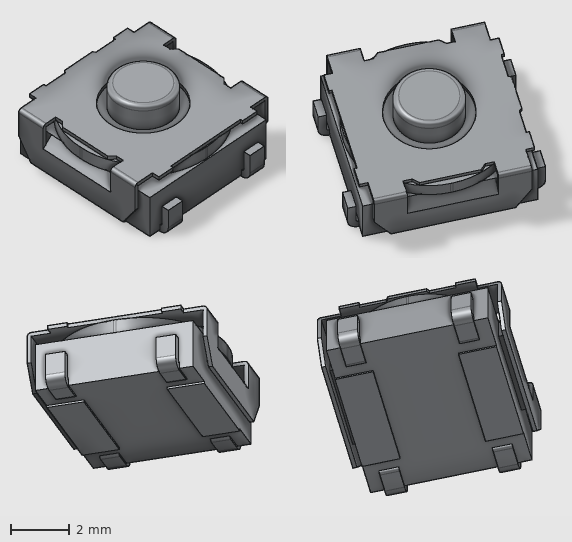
import cadquery as cq
import math


overall_length = 7.0
overall_depth = 6.5
overall_height = 3.4

sheet = 0.15
cover_top = 2.5
cover_underside = cover_top - sheet
cover_width = 6.2
cover_shoulder_depth = 4.81
cover_hole_diameter = 3.2
tab_width = 5.585
tab_foot_width = 4.41
tab_bottom = 0.44
tab_taper_top = 1.33

window_width = 3.22
window_bottom = 0.99
window_inner_y = 2.64
tongue_root_width = 2.59
tongue_chamfer = 0.21

notch_depth = 0.105
notch_outer_y = 1.7
notch_inner_y = 0.68
notch_chamfer = 0.08

base_width = cover_width
base_depth = 5.7
base_underside = 0.08
base_top = 1.835
foot_width = 3.795
foot_inner_y = 1.505

housing_size = 6.1
housing_flat = 0.08

plunger_diameter = 2.5
plunger_round = 0.2

lead_thickness = 0.3
lead_width = 0.7
lead_spacing = 4.005
lead_top = 1.19
lead_bend_radius = 0.4
lead_inner_x = 2.255
lead_end_round = 0.15


def slab(width, depth, bottom, top):
    """Centred rectangular block between two heights."""
    return (
        cq.Workplane("XY")
        .workplane(offset=bottom)
        .rect(width, depth)
        .extrude(top - bottom)
    )


def extrude_along_x(points, width):
    """Prism centred on X from a (Y, Z) outline."""
    return cq.Workplane("YZ").polyline(points).close().extrude(width / 2, both=True)


def both_sides(shape, plane):
    """Shape joined with its mirror image."""
    return shape.union(shape.mirror(plane))


def make_base():
    """Block with two locating feet and a sloped latch on its front and back."""
    base = slab(base_width, base_depth, base_underside, base_top)

    foot_depth = base_depth / 2 - foot_inner_y
    foot = slab(foot_width, foot_depth, 0, base_underside)
    foot = foot.translate((0, foot_inner_y + foot_depth / 2, 0))

    root_y = base_depth / 2
    tip_y = overall_depth / 2
    latch = extrude_along_x(
        [
            (root_y, window_bottom),
            (tip_y, window_bottom),
            (tip_y, base_top - (tip_y - root_y)),
            (root_y, base_top),
        ],
        window_width,
    )
    return base.union(both_sides(foot, "XZ")).union(both_sides(latch, "XZ"))


def make_housing():
    housing = slab(housing_size, housing_size, base_top, cover_underside)
    return housing.edges("|Z").fillet((housing_size - housing_flat) / 2)


def make_plunger():
    plunger = (
        cq.Workplane("XY")
        .workplane(offset=cover_underside)
        .circle(plunger_diameter / 2)
        .extrude(overall_height - cover_underside)
    )
    return plunger.faces(">Z").edges().fillet(plunger_round)


def make_folded_sheet():
    """Top sheet with both sides folded down and their lower corners tapered."""
    folded = slab(tab_width, overall_depth, tab_bottom, cover_top)
    folded = folded.edges("|X and >Z").fillet(sheet)
    folded = folded.cut(slab(tab_width, overall_depth - 2 * sheet, tab_bottom, cover_underside))

    tab_outline = (
        cq.Workplane("XZ")
        .polyline(
            [
                (-tab_foot_width / 2, tab_bottom),
                (tab_foot_width / 2, tab_bottom),
                (tab_width / 2, tab_taper_top),
                (tab_width / 2, cover_top),
                (-tab_width / 2, cover_top),
                (-tab_width / 2, tab_taper_top),
            ]
        )
        .close()
        .extrude(overall_depth / 2, both=True)
    )
    return folded.intersect(tab_outline)


def make_window():
    """Cutter for the opening in one folded side, leaving a chamfered tongue."""
    window_depth = overall_depth / 2 - window_inner_y
    window = slab(window_width, window_depth, window_bottom, cover_top)
    window = window.translate((0, window_inner_y + window_depth / 2, 0))

    tongue_tip_width = tongue_root_width - 2 * tongue_chamfer
    tongue_tip_y = window_inner_y + tongue_chamfer
    tongue = (
        cq.Workplane("XY")
        .workplane(offset=cover_underside)
        .polyline(
            [
                (-tongue_root_width / 2, window_inner_y),
                (tongue_root_width / 2, window_inner_y),
                (tongue_tip_width / 2, tongue_tip_y),
                (-tongue_tip_width / 2, tongue_tip_y),
            ]
        )
        .close()
        .extrude(sheet)
    )
    return window.cut(tongue)


def make_edge_notches():
    """Cutters for two notches on the left edge and one long notch on the right."""
    edge_x = cover_width / 2
    floor_x = edge_x - notch_depth
    left_notch = (
        cq.Workplane("XY")
        .workplane(offset=cover_underside)
        .polyline(
            [
                (-edge_x, notch_outer_y),
                (-floor_x, notch_outer_y),
                (-floor_x, notch_inner_y + notch_chamfer),
                (-edge_x, notch_inner_y),
            ]
        )
        .close()
        .extrude(sheet)
    )
    right_notch = slab(notch_depth, 2 * notch_outer_y, cover_underside, cover_top)
    right_notch = right_notch.translate((edge_x - notch_depth / 2, 0, 0))
    return both_sides(left_notch, "XZ").union(right_notch)


def make_cover():
    cover = make_folded_sheet()
    cover = cover.union(slab(cover_width, cover_shoulder_depth, cover_underside, cover_top))
    cover = cover.cut(both_sides(make_window(), "XZ"))
    cover = cover.cut(make_edge_notches())
    hole = (
        cq.Workplane("XY")
        .workplane(offset=cover_underside)
        .circle(cover_hole_diameter / 2)
        .extrude(sheet)
    )
    return cover.cut(hole)


def make_leads():
    """Four J-shaped leads, each bent up outside the base."""
    outer_x = overall_length / 2
    bend_x = outer_x - lead_bend_radius
    inner_radius = lead_bend_radius - lead_thickness
    diagonal = math.sqrt(0.5)
    outer_mid = (bend_x + lead_bend_radius * diagonal, lead_bend_radius * (1 - diagonal))
    inner_mid = (bend_x + inner_radius * diagonal, lead_bend_radius - inner_radius * diagonal)

    lead = (
        cq.Workplane("XZ")
        .moveTo(outer_x, lead_top)
        .lineTo(outer_x, lead_bend_radius)
        .threePointArc(outer_mid, (bend_x, 0))
        .lineTo(lead_inner_x + lead_end_round, 0)
        .radiusArc((lead_inner_x, lead_end_round), lead_end_round)
        .lineTo(lead_inner_x, lead_thickness)
        .lineTo(bend_x, lead_thickness)
        .threePointArc(inner_mid, (outer_x - lead_thickness, lead_bend_radius))
        .lineTo(outer_x - lead_thickness, lead_top)
        .close()
        .extrude(lead_width / 2, both=True)
        .translate((0, lead_spacing / 2, 0))
    )
    return both_sides(both_sides(lead, "XZ"), "YZ")


result = (
    make_base()
    .union(make_housing())
    .union(make_cover())
    .union(make_plunger())
    .union(make_leads())
)